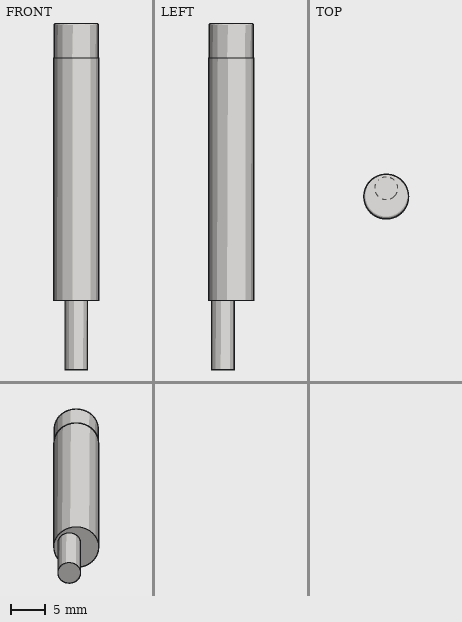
import cadquery as cq

total_length = 50.0
body_diameter = 6.5

cap_length = 5.0
cap_diameter = 6.4
cap_fillet = 0.3

cable_length = 10.0
cable_diameter = 3.3
cable_offset_y = 1.2

body_length = total_length - cap_length - cable_length


def rod(diameter, length, bottom_z, center_y=0.0):
    """Vertical cylinder standing on the height bottom_z."""
    return (
        cq.Workplane("XY", origin=(0, center_y, bottom_z))
        .circle(diameter / 2)
        .extrude(length)
    )


cable = rod(cable_diameter, cable_length, -cable_length, cable_offset_y)
body = rod(body_diameter, body_length, 0)
cap = rod(cap_diameter, cap_length, body_length).faces(">Z").edges().fillet(cap_fillet)

result = body.union(cap).union(cable)